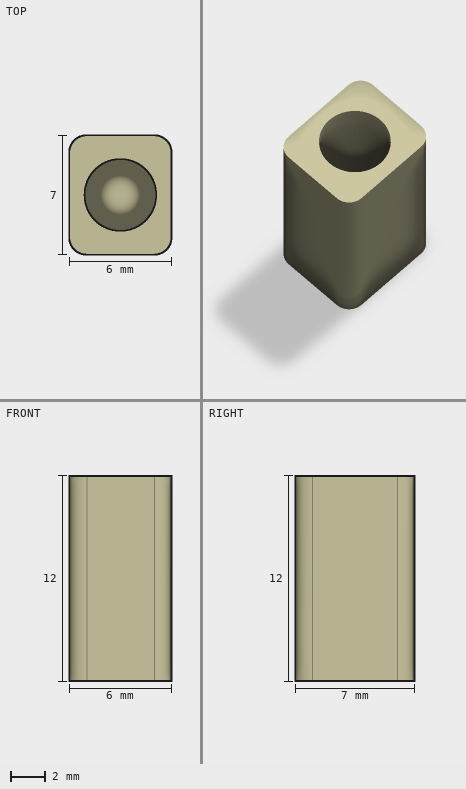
import cadquery as cq

height = 12
width = height / 2
depth = 7.0
corner_radius = 1.02

hole_diameter = 4.2
floor_thickness = width / 2 - hole_diameter / 2
hole_depth = height - floor_thickness

block = (
    cq.Workplane("XY")
    .rect(width, depth)
    .extrude(height)
    .edges("|Z")
    .fillet(corner_radius)
)

result = (
    block.faces(">Z")
    .workplane()
    .hole(hole_diameter, hole_depth)
)